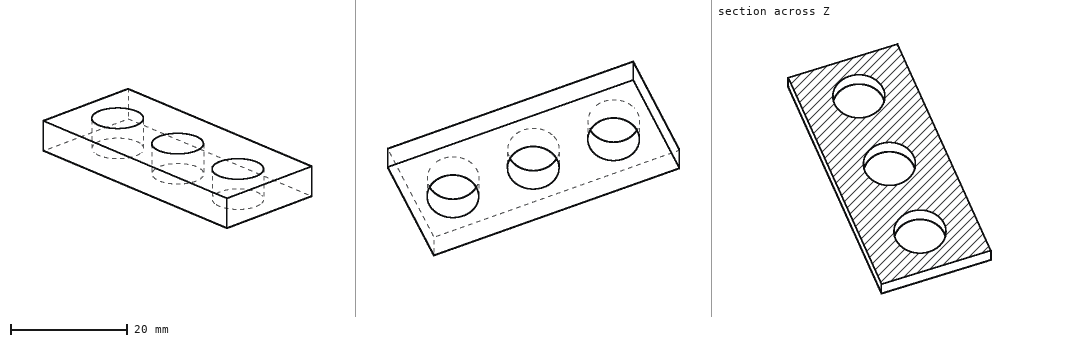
import cadquery as cq

length = 45.95
width = 20.1
thickness = 5.6

hole_diameter = 8.85
hole_spacing = 15.05
hole_count = 3
row_offset = 0.05

plate = cq.Workplane("XY").box(length, width, thickness)

result = (
    plate.faces(">Z")
    .workplane()
    .center(row_offset, 0)
    .rarray(hole_spacing, width, hole_count, 1)
    .hole(hole_diameter)
)